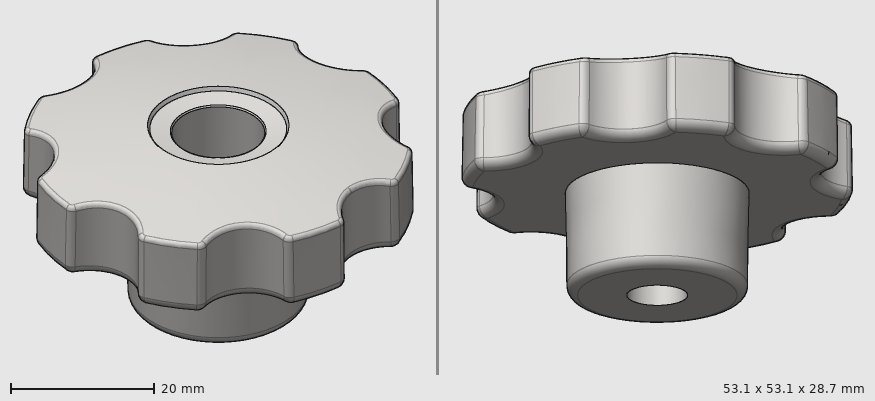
import cadquery as cq
import math

total_height = 28.7
wheel_bottom = 15.1

lobe_count = 8
wheel_radius = 27.4
draft_angle = 1.0
scallop_radius = 6.8
scallop_centre_radius = 30.0
corner_radius = 1.3
top_fillet = 0.75
bottom_fillet = 1.5
dome_radius = 142.35

hub_top_diameter = 25.7
hub_bottom_diameter = 25.25
hub_fillet = 1.5

recess_rim_diameter = 19.75
recess_wall_foot_diameter = 19.1
recess_wall_depth = 0.6
recess_depth = 1.0

bore_mouth_diameter = 13.4
bore_diameter = 13.0
bore_mouth_depth = 0.2
bore_floor = wheel_bottom
countersink_diameter = 10.55
hole_diameter = 8.5


def make_wheel():
    """Drafted wheel with finger scallops, domed so that its top passes through the recess rim."""
    rim_radius = recess_rim_diameter / 2
    dome_centre = total_height - math.sqrt(dome_radius**2 - rim_radius**2)
    apex = dome_centre + dome_radius
    wheel = (
        cq.Workplane("XY")
        .workplane(offset=wheel_bottom)
        .circle(wheel_radius)
        .extrude(apex - wheel_bottom, taper=draft_angle)
    )
    scallops = (
        cq.Workplane("XY")
        .workplane(offset=wheel_bottom)
        .polarArray(scallop_centre_radius, 0, 360, lobe_count)
        .circle(scallop_radius)
        .extrude(apex - wheel_bottom)
    )
    wheel = wheel.cut(scallops)
    lobe_corners = wheel.edges("not %CIRCLE").edges("not %LINE")
    wheel = lobe_corners.fillet(corner_radius)
    sphere = cq.Workplane("XY").sphere(dome_radius).translate((0, 0, dome_centre))
    wheel = wheel.intersect(sphere)
    wheel = wheel.faces("<Z").edges().fillet(bottom_fillet)
    return wheel.faces(">Z").edges().fillet(top_fillet)


def make_hub():
    """Round hub below the wheel, slightly narrower towards its rounded lower end."""
    hub = (
        cq.Workplane("XY")
        .circle(hub_bottom_diameter / 2)
        .workplane(offset=wheel_bottom)
        .circle(hub_top_diameter / 2)
        .loft()
    )
    return hub.faces("<Z").edges().fillet(hub_fillet)


def make_bore():
    """Recess, counterbore, countersink and through hole as one turned cutter."""
    cone_foot = total_height - recess_depth
    countersink_depth = (countersink_diameter - hole_diameter) / 2
    clearance = 1.05
    profile = [
        (0, -clearance),
        (hole_diameter / 2, -clearance),
        (hole_diameter / 2, bore_floor - countersink_depth),
        (countersink_diameter / 2, bore_floor),
        (bore_diameter / 2, bore_floor),
        (bore_diameter / 2, cone_foot - bore_mouth_depth),
        (bore_mouth_diameter / 2, cone_foot),
        (recess_wall_foot_diameter / 2, total_height - recess_wall_depth),
        (recess_rim_diameter / 2, total_height),
        (recess_rim_diameter / 2, total_height + clearance),
        (0, total_height + clearance),
    ]
    return cq.Workplane("XZ").polyline(profile).close().revolve(360, (0, 0, 0), (0, 1, 0))


result = make_wheel().union(make_hub()).cut(make_bore())